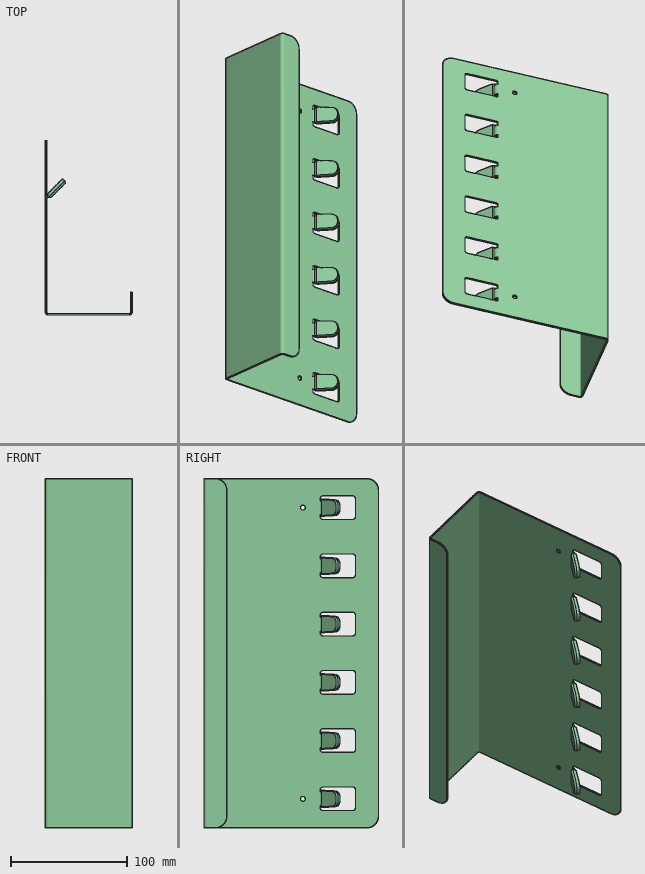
import cadquery as cq
import math

WIDTH = 75.0
DEPTH = 150.0
HEIGHT = 300.0

SHEET = 1.5
BEND_RADIUS = 2.7
LIP_DEPTH = 19.8
CORNER_RADIUS = 30 / 3
EDGE_BREAK = 0.3

WINDOW_COUNT = 6
WINDOW_PITCH = HEIGHT / WINDOW_COUNT
WINDOW_LENGTH = 30.0
WINDOW_HEIGHT = 60 / 3
WINDOW_RADIUS = 2.0
WINDOW_INSET = 60 / 3

HOLE_DIAMETER = 12 / 3
HOLE_GAP = 15.0

TAB_ANGLE = 45.0
TAB_WIDTH = 12.0
TAB_REACH = 18.0
TAB_BEND_INNER = 0.5
TAB_BEND_OUTER = TAB_BEND_INNER + SHEET

PAD_TIP = 22.8
PAD_ROOT = -7.8
PAD_ROOT_WIDTH = 16.0
PAD_TIP_WIDTH = 13.5
PAD_CORNER_RADIUS = 5.7
PAD_PARTING_OFFSET = 1.2
PAD_FRONT = 2.7
PAD_BACK = 1.8
PAD_FRONT_DRAFT = 7.0
PAD_BACK_DRAFT = 22.0
PAD_GAP = 1.0

CUT_REACH = 2 * SHEET

OUTER_X = -WIDTH / 2
INNER_X = OUTER_X + SHEET
FRONT_Y = -DEPTH / 2
BACK_Y = DEPTH / 2
WINDOW_END_Y = BACK_Y - WINDOW_INSET - WINDOW_LENGTH
FIRST_Z = -WINDOW_PITCH * (WINDOW_COUNT - 1) / 2
WINDOW_HEIGHTS = [FIRST_Z + i * WINDOW_PITCH for i in range(WINDOW_COUNT)]


def folded_sheet():
    """J-shaped profile run the full height, with rounded free corners."""
    lip_y = FRONT_Y + LIP_DEPTH
    outline = [
        (OUTER_X, BACK_Y),
        (OUTER_X, FRONT_Y),
        (-OUTER_X, FRONT_Y),
        (-OUTER_X, lip_y),
        (-INNER_X, lip_y),
        (-INNER_X, FRONT_Y + SHEET),
        (INNER_X, FRONT_Y + SHEET),
        (INNER_X, BACK_Y),
    ]
    sheet = cq.Workplane("XY").polyline(outline).close().extrude(HEIGHT / 2, both=True)
    sheet = sheet.faces("<Y").edges("|Z").fillet(BEND_RADIUS)
    for fold_x in (INNER_X, -INNER_X):
        inner_fold = cq.selectors.NearestToPointSelector((fold_x, FRONT_Y + SHEET, 0))
        sheet = sheet.edges(inner_fold).fillet(BEND_RADIUS - SHEET)
    sheet = sheet.faces(">Y").edges("|X").fillet(CORNER_RADIUS)
    lip_top = cq.selectors.NearestToPointSelector((-OUTER_X, lip_y, 0))
    sheet = sheet.faces(lip_top).edges("|X").fillet(CORNER_RADIUS)
    return sheet.faces("<X").edges(">Y").chamfer(EDGE_BREAK)


def window_cutter(z):
    """Rounded rectangle through the long leg."""
    return (
        cq.Workplane("XY")
        .box(2 * CUT_REACH, WINDOW_LENGTH, WINDOW_HEIGHT)
        .edges("|X")
        .fillet(WINDOW_RADIUS)
        .translate((OUTER_X, WINDOW_END_Y + WINDOW_LENGTH / 2, z))
    )


def hole_cutter(z):
    """Round hole through the long leg."""
    return (
        cq.Workplane("YZ", origin=(OUTER_X, WINDOW_END_Y - HOLE_GAP, z))
        .circle(HOLE_DIAMETER / 2)
        .extrude(CUT_REACH, both=True)
    )


def tab():
    """Sheet tongue that starts at the window end and bends inward."""
    bend_x = OUTER_X + TAB_BEND_OUTER

    def on_bend(radius, degrees, run=0.0):
        turn = math.radians(degrees)
        x = bend_x - radius * math.cos(turn) + run * math.sin(turn)
        y = WINDOW_END_Y + radius * math.sin(turn) + run * math.cos(turn)
        return (x, y)

    root_y = WINDOW_END_Y - SHEET
    return (
        cq.Workplane("XY")
        .moveTo(OUTER_X, root_y)
        .lineTo(*on_bend(TAB_BEND_OUTER, 0))
        .threePointArc(on_bend(TAB_BEND_OUTER, TAB_ANGLE / 2), on_bend(TAB_BEND_OUTER, TAB_ANGLE))
        .lineTo(*on_bend(TAB_BEND_OUTER, TAB_ANGLE, TAB_REACH))
        .lineTo(*on_bend(TAB_BEND_INNER, TAB_ANGLE, TAB_REACH))
        .lineTo(*on_bend(TAB_BEND_INNER, TAB_ANGLE))
        .threePointArc(on_bend(TAB_BEND_INNER, TAB_ANGLE / 2), on_bend(TAB_BEND_INNER, 0))
        .lineTo(INNER_X, root_y)
        .close()
        .extrude(TAB_WIDTH / 2, both=True)
    )


def pad():
    """Drafted pad around the tongue, cut flat beside the long leg and the window end."""
    turn = math.radians(TAB_ANGLE)
    along = cq.Vector(math.sin(turn), math.cos(turn), 0)
    front = cq.Vector(-math.cos(turn), math.sin(turn), 0)
    origin = cq.Vector(OUTER_X, WINDOW_END_Y, 0) - front * PAD_PARTING_OFFSET
    parting = cq.Workplane(cq.Plane(origin=origin, xDir=along, normal=front))
    outline = (
        cq.Sketch()
        .polygon([
            (PAD_ROOT, PAD_ROOT_WIDTH / 2),
            (PAD_TIP, PAD_TIP_WIDTH / 2),
            (PAD_TIP, -PAD_TIP_WIDTH / 2),
            (PAD_ROOT, -PAD_ROOT_WIDTH / 2),
            (PAD_ROOT, PAD_ROOT_WIDTH / 2),
        ])
        .vertices(">X")
        .fillet(PAD_CORNER_RADIUS)
    )
    front_half = parting.placeSketch(outline).extrude(PAD_FRONT, taper=PAD_FRONT_DRAFT)
    back_half = parting.placeSketch(outline).extrude(-PAD_BACK, taper=PAD_BACK_DRAFT)
    inside = cq.Workplane("XY", origin=(INNER_X + PAD_GAP, WINDOW_END_Y + PAD_GAP, 0)).box(
        2 * PAD_TIP, 2 * PAD_TIP, 2 * PAD_TIP, centered=(False, False, True)
    )
    return front_half.union(back_half).intersect(inside)


result = folded_sheet()
for z in WINDOW_HEIGHTS:
    result = result.cut(window_cutter(z))
for z in (WINDOW_HEIGHTS[0], WINDOW_HEIGHTS[-1]):
    result = result.cut(hole_cutter(z))
padded_tab = tab().union(pad())
for z in WINDOW_HEIGHTS:
    result = result.union(padded_tab.translate((0, 0, z)))